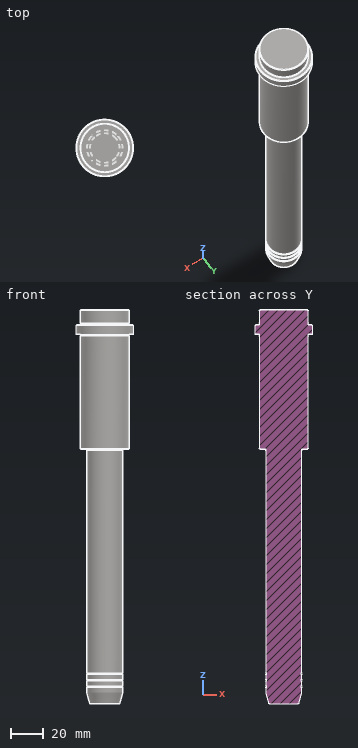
import cadquery as cq

total_length = 240.0
collar_center = 228.0
collar_height = 6.0
sleeve_bottom = 155.0
taper_length = 7.0

collar_bottom = collar_center - collar_height / 2
collar_top = collar_center + collar_height / 2

collar_diameter = 35.0
sleeve_diameter = 30.0
shaft_diameter = 22.0
tip_diameter = 18.2

collar_chamfer = 0.5
sleeve_chamfer = 0.5
tip_chamfer = 0.35

collar_relief_width = 1.0
shaft_relief_width = 0.7
relief_depth = 0.2

groove_count = 3
first_groove_center = 10.5
last_groove_center = 18.5
groove_pitch = (last_groove_center - first_groove_center) / (groove_count - 1)
groove_width = 1.0
groove_depth = 0.5


def cylinder(diameter, bottom, top):
    return cq.Workplane("XY", origin=(0, 0, bottom)).circle(diameter / 2).extrude(top - bottom)


def cut_v_groove(body, diameter, depth, width, center):
    """Turn a V groove, `width` wide at the surface, around a body of the given diameter."""
    radius = diameter / 2
    profile = [
        (radius - depth, center),
        (radius + depth, center - width),
        (radius + depth, center + width),
    ]
    cutter = cq.Workplane("XZ").polyline(profile).close().revolve(360, (0, 0, 0), (0, 1, 0))
    return body.cut(cutter)


def tapered_tip():
    tip = cq.Workplane("XY").circle(tip_diameter / 2)
    tip = tip.workplane(offset=taper_length).circle(shaft_diameter / 2).loft(ruled=True)
    return tip.faces("<Z").chamfer(tip_chamfer)


def grooved_shaft():
    shaft = cylinder(shaft_diameter, taper_length, sleeve_bottom)
    for index in range(groove_count):
        center = first_groove_center + index * groove_pitch
        shaft = cut_v_groove(shaft, shaft_diameter, groove_depth, groove_width, center)
    relief_center = sleeve_bottom - shaft_relief_width / 2
    return cut_v_groove(shaft, shaft_diameter, relief_depth, shaft_relief_width, relief_center)


def sleeve():
    body = cylinder(sleeve_diameter, sleeve_bottom, total_length)
    body = body.faces("<Z or >Z").chamfer(sleeve_chamfer)
    half_width = collar_relief_width / 2
    for center in (collar_bottom - half_width, collar_top + half_width):
        body = cut_v_groove(body, sleeve_diameter, relief_depth, collar_relief_width, center)
    return body


def collar():
    ring = cylinder(collar_diameter, collar_bottom, collar_top)
    return ring.faces(">Z").chamfer(collar_chamfer)


result = tapered_tip().union(grooved_shaft()).union(sleeve()).union(collar())